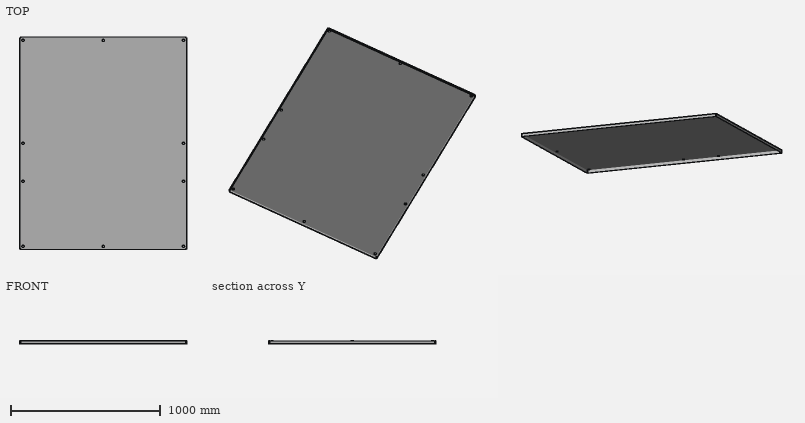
import cadquery as cq

width = 1117.6
length = 1422.4
height = 22.23

sheet_thickness = 3.0
outer_bend_radius = 4.2
inner_bend_radius = outer_bend_radius - sheet_thickness

corner_relief = 5.5

hole_diameter = 14.3
hole_inset = 22.2
middle_side_hole_y = 0.0
lower_side_hole_y = -254.0


def rounded_top_block(size_x, size_y, size_z, top_radius):
    """Block standing on Z = 0, centred in X and Y, with its top rim rounded."""
    block = cq.Workplane("XY").box(size_x, size_y, size_z, centered=(True, True, False))
    return block.faces(">Z").edges().fillet(top_radius)


def make_pan():
    """Flat sheet with a flange folded down along each side, open underneath."""
    outside = rounded_top_block(width, length, height, outer_bend_radius)
    inside = rounded_top_block(
        width - 2 * sheet_thickness,
        length - 2 * sheet_thickness,
        height - sheet_thickness,
        inner_bend_radius,
    )
    return outside.cut(inside)


def make_corner_reliefs():
    """Square cutters centred on the four corners, each removing a quarter of its section."""
    cutter_side = 2 * corner_relief
    return (
        cq.Workplane("XY")
        .rect(width, length, forConstruction=True)
        .vertices()
        .rect(cutter_side, cutter_side)
        .extrude(height)
    )


def hole_positions():
    """Centres of the holes: four along each long side and one midway along each end."""
    side_x = width / 2 - hole_inset
    end_y = length / 2 - hole_inset
    positions = [(0, end_y), (0, -end_y)]
    for x in (-side_x, side_x):
        for y in (end_y, middle_side_hole_y, lower_side_hole_y, -end_y):
            positions.append((x, y))
    return positions


def make_mounting_holes():
    """Cylinders that pierce the flat sheet at every mounting hole."""
    return cq.Workplane("XY").pushPoints(hole_positions()).circle(hole_diameter / 2).extrude(height)


result = make_pan().cut(make_corner_reliefs()).cut(make_mounting_holes())